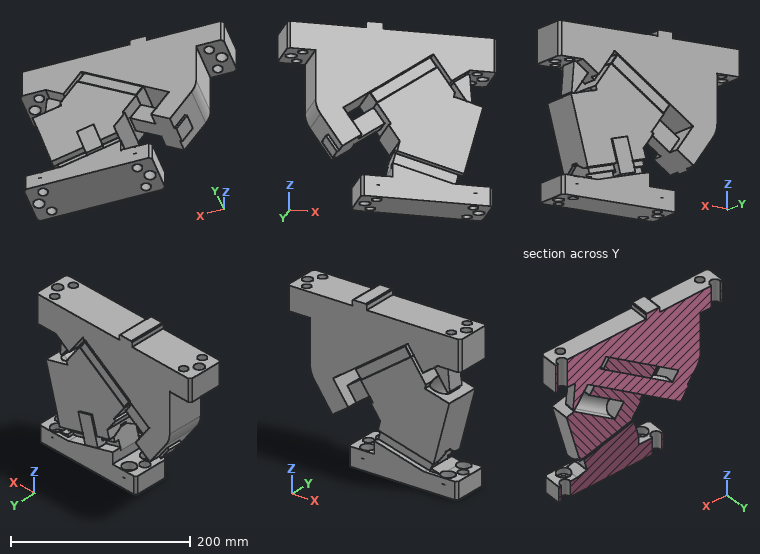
import cadquery as cq
import math


DEPTH = 50.0
HALF_DEPTH = DEPTH / 2
CORNER_CHAMFER = 3.0
THROUGH = 480.0

HOLDER_LENGTH = 240.0
HOLDER_TOP = 200.2
LEFT_FLANGE_BOTTOM = 168.0
RIGHT_FLANGE_BOTTOM = 159.4
ARM_LEFT = 32.0
ARM_ROUND = 30.0
ARM_THICKNESS = 27.0
KEY_LEFT = 90.2
KEY_WIDTH = 20.0
KEY_HEIGHT = 7.5
KEY_CHAMFER = 1.2

WAY_ANGLE = 35.0
WAY_ORIGIN = (63.8, 102.5)
WAY_LENGTH = 126.0
WAY_DEPTH = 36.7
RAIL_WIDTH = 20.0
RAIL_TOP = 15.0
RAIL_STICK_OUT = 3.0
LUG_WIDTH = 22.8
LUG_START = 132.7
LUG_TIP = 69.5
LUG_TIP_WIDTH = 3.4
LUG_ROOT_RIGHT = 212.2

SEAT_ANGLE = 15.0
SEAT_ORIGIN = (121.5, 41.3)
BASE_LEFT = 84.5
BASE_RIGHT = 235.5
BASE_LEFT_TOP = 25.2
BASE_RIGHT_TOP = 23.0
SEAT_LEFT = 120.5
BASE_RAIL_LENGTH = 75.0
BASE_RAIL_HALF_WIDTH = 18.0
BASE_RAIL_HEIGHT = 15.0
ROOF_RISE = 7.5
ROOF_FLAT_HALF_WIDTH = 4.0
GROOVE_FLOOR_Y = 11.8
GROOVE_HEIGHT = 9.0
STOP_HALF_WIDTH = 20.0
END_RELIEF_REACH = 4.8
STOP_LENGTH = 16.8
STOP_HEIGHT = 5.0

SCREW_HOLE = 11.0
SCREW_INSET = 20.0
SCREW_Y = 15.0
DOWEL_HOLE = 13.0
DOWEL_INSET = 10.0
HEAD_HOLE = 17.8
HEAD_SEAT = 14.5

SLIDER_START = 36.5
SLIDER_LENGTH = 85.0
PLATE_THICKNESS = RAIL_TOP
PLATE_EDGE_CHAMFER = 0.5
PLATE_END_INSET = 0.2
PLATE_TOP_CHAMFER = 1.2
LIP = 3.0
LIP_TOP = 43.0
SLIDER_WIDTH = 80.0
SLIDER_SIDE = 85.0
SHOULDER_START = 45.0
SLIDER_CLEARANCE = 0.5
RELIEF_DEPTH = 2.0
SPRING_SLOT_WIDTH = 37.5
SPRING_SLOT_HEIGHT = 22.0
SPRING_AXIS = 23.3
SPRING_DEPTH = 60.0

KEEPER_START = 20.0
KEEPER_LENGTH = 20.5
KEEPER_TOP = 28.0
KEEPER_BOTTOM = 13.2
KEEPER_THICKNESS = 2.2
HOOK_HEIGHT = 4.8
HOOK_TIP_Y = 13.0

WAY_COS = math.cos(math.radians(WAY_ANGLE))
WAY_SIN = math.sin(math.radians(WAY_ANGLE))
SEAT_COS = math.cos(math.radians(SEAT_ANGLE))
SEAT_SIN = math.sin(math.radians(SEAT_ANGLE))


def way_point(u, v):
    """X, Z of a point given along (u) and square to (v) the holder way."""
    return (WAY_ORIGIN[0] + u * WAY_COS - v * WAY_SIN, WAY_ORIGIN[1] + u * WAY_SIN + v * WAY_COS)


def seat_point(s, t):
    """X, Z of a point given along (s) and square to (t) the base seat."""
    return (SEAT_ORIGIN[0] + s * SEAT_COS + t * SEAT_SIN, SEAT_ORIGIN[1] - s * SEAT_SIN + t * SEAT_COS)


def way_depth(u, s):
    """The v at which the line of constant u meets the line of constant s."""
    x, z = way_point(u, 0)
    s_on_way = (x - SEAT_ORIGIN[0]) * SEAT_COS - (z - SEAT_ORIGIN[1]) * SEAT_SIN
    return (s_on_way - s) / math.sin(math.radians(WAY_ANGLE + SEAT_ANGLE))


def slab(points, y_min=-HALF_DEPTH, y_max=HALF_DEPTH):
    """Prism of an X-Z outline between two Y values."""
    return cq.Workplane("XZ", origin=(0, y_max, 0)).polyline(points).close().extrude(y_max - y_min)


def way_block(u_min, u_max, v_min, v_max, half_width):
    corners = [(u_min, v_min), (u_max, v_min), (u_max, v_max), (u_min, v_max)]
    return slab([way_point(u, v) for u, v in corners], -half_width, half_width)


def seat_block(s_min, s_max, t_min, t_max, y_min, y_max):
    corners = [(s_min, t_min), (s_max, t_min), (s_max, t_max), (s_min, t_max)]
    return slab([seat_point(s, t) for s, t in corners], y_min, y_max)


def seat_section(s):
    """Workplane square to the seat slope, with local x along Y and local y along t."""
    x, z = seat_point(s, 0)
    return cq.Workplane(cq.Plane((x, 0, z), (0, 1, 0), (SEAT_COS, 0, -SEAT_SIN)))


def vertical_holes(points, diameter, z_min):
    return cq.Workplane("XY", origin=(0, 0, z_min)).pushPoints(points).circle(diameter / 2).extrude(THROUGH)


def end_points(x_left, x_right, inset, y_values):
    return [(x, y) for x in (x_left + inset, x_right - inset) for y in y_values]


def roof_outline(extra_height):
    """Roof-shaped section of the base rail above its shoulders, with the flat raised by extra_height."""
    shoulder = BASE_RAIL_HEIGHT
    eave = shoulder + ROOF_RISE
    ridge = eave + extra_height
    half = [(BASE_RAIL_HALF_WIDTH, shoulder), (ROOF_FLAT_HALF_WIDTH, eave)]
    if extra_height:
        half.append((ROOF_FLAT_HALF_WIDTH, ridge))
    return half + [(-y, t) for y, t in reversed(half)]


def make_holder():
    arm_outer_rise = (WAY_ORIGIN[0] - ARM_THICKNESS * WAY_COS - ARM_LEFT) / WAY_SIN
    lip_u = (RIGHT_FLANGE_BOTTOM - WAY_ORIGIN[1] + WAY_DEPTH * WAY_COS) / WAY_SIN
    arm_corner = way_point(-ARM_THICKNESS, arm_outer_rise)
    body = slab([
        (0, HOLDER_TOP),
        (0, LEFT_FLANGE_BOTTOM),
        (ARM_LEFT, LEFT_FLANGE_BOTTOM),
        arm_corner,
        way_point(-ARM_THICKNESS, -WAY_DEPTH),
        way_point(0, -WAY_DEPTH),
        way_point(0, 0),
        way_point(WAY_LENGTH, 0),
        way_point(WAY_LENGTH, -WAY_DEPTH),
        way_point(lip_u, -WAY_DEPTH),
        (HOLDER_LENGTH, RIGHT_FLANGE_BOTTOM),
        (HOLDER_LENGTH, HOLDER_TOP),
    ])
    arm_edge = cq.selectors.NearestToPointSelector((arm_corner[0], 0, arm_corner[1]))
    body = body.edges(arm_edge).fillet(ARM_ROUND)
    body = body.faces("<X or >X").edges("|Z").chamfer(CORNER_CHAMFER)

    key = cq.Workplane("XY", origin=(KEY_LEFT, -HALF_DEPTH, HOLDER_TOP)).box(
        KEY_WIDTH, DEPTH, KEY_HEIGHT, centered=False
    )
    key = key.faces(">Z").edges("|Y").chamfer(KEY_CHAMFER)

    rail = way_block(-ARM_THICKNESS - RAIL_STICK_OUT, WAY_LENGTH, -WAY_DEPTH, -RAIL_TOP, RAIL_WIDTH / 2)
    lug = slab([
        way_point(LUG_START, -RAIL_TOP),
        way_point(LUG_START, -LUG_TIP),
        way_point(LUG_START + LUG_TIP_WIDTH, -LUG_TIP),
        (LUG_ROOT_RIGHT, RIGHT_FLANGE_BOTTOM),
    ], -LUG_WIDTH / 2, LUG_WIDTH / 2)
    screws = end_points(0, HOLDER_LENGTH, SCREW_INSET, (-SCREW_Y, SCREW_Y))
    dowels = end_points(0, HOLDER_LENGTH, DOWEL_INSET, (0,))
    body = body.cut(vertical_holes(screws, SCREW_HOLE, 0)).cut(vertical_holes(dowels, DOWEL_HOLE, 0))
    return body.union(key).union(rail).union(lug)


def make_base():
    slope = SEAT_SIN / SEAT_COS
    seat_left_z = SEAT_ORIGIN[1] + (SEAT_ORIGIN[0] - SEAT_LEFT) * slope
    seat_right = SEAT_LEFT + (seat_left_z - BASE_RIGHT_TOP) / slope
    body = slab([
        (BASE_LEFT, 0),
        (BASE_LEFT, BASE_LEFT_TOP),
        (SEAT_LEFT, BASE_LEFT_TOP),
        (SEAT_LEFT, seat_left_z),
        (seat_right, BASE_RIGHT_TOP),
        (BASE_RIGHT, BASE_RIGHT_TOP),
        (BASE_RIGHT, 0),
    ])
    body = body.faces("<X or >X").edges("|Z").chamfer(CORNER_CHAMFER)

    reach = END_RELIEF_REACH
    end_relief = seat_block(-reach, 0, -reach, reach, -BASE_RAIL_HALF_WIDTH, GROOVE_FLOOR_Y)
    body = body.cut(end_relief)

    rail = seat_block(0, BASE_RAIL_LENGTH, 0, BASE_RAIL_HEIGHT, -BASE_RAIL_HALF_WIDTH, BASE_RAIL_HALF_WIDTH)
    roof = seat_section(0).polyline(roof_outline(0)).close().extrude(BASE_RAIL_LENGTH)
    groove = seat_block(0, BASE_RAIL_LENGTH, 0, GROOVE_HEIGHT, GROOVE_FLOOR_Y, BASE_RAIL_HALF_WIDTH)
    stop_end = BASE_RAIL_LENGTH + STOP_LENGTH
    stop = seat_block(BASE_RAIL_LENGTH, stop_end, -STOP_HEIGHT, STOP_HEIGHT, -STOP_HALF_WIDTH, STOP_HALF_WIDTH)
    body = body.union(rail.union(roof).cut(groove)).union(stop)

    screws = end_points(BASE_LEFT, BASE_RIGHT, SCREW_INSET, (-SCREW_Y, SCREW_Y))
    dowels = end_points(BASE_LEFT, BASE_RIGHT, DOWEL_INSET, (0,))
    body = body.cut(vertical_holes(screws, SCREW_HOLE, 0)).cut(vertical_holes(dowels, DOWEL_HOLE, 0))
    return body.cut(vertical_holes(screws, HEAD_HOLE, HEAD_SEAT))


def make_keeper():
    """Hooked plate on the back of the slider that reaches into the groove of the base rail."""
    s_max = KEEPER_START + KEEPER_LENGTH
    bottom = BASE_RAIL_HEIGHT - KEEPER_BOTTOM
    top = BASE_RAIL_HEIGHT + KEEPER_TOP
    outside = HALF_DEPTH + KEEPER_THICKNESS
    slider_bottom = BASE_RAIL_HEIGHT + SLIDER_CLEARANCE
    plate = seat_block(KEEPER_START, s_max, bottom, top, HALF_DEPTH, outside)
    leg = seat_block(KEEPER_START, s_max, bottom, slider_bottom, BASE_RAIL_HALF_WIDTH, outside)
    hook = seat_block(KEEPER_START, s_max, bottom, bottom + HOOK_HEIGHT, HOOK_TIP_Y, outside)
    return plate.union(leg).union(hook)


def make_wear_plate():
    """Sliding plate on top of the slider, with eased edges on its front and back faces."""
    length = SLIDER_LENGTH - 2 * PLATE_END_INSET
    plate = cq.Workplane("XY").box(length, DEPTH, PLATE_THICKNESS, centered=(False, True, False))
    plate = plate.faces("<Y or >Y").edges(">Z").chamfer(PLATE_TOP_CHAMFER)
    plate = plate.faces("<Y or >Y").edges("not(>Z)").chamfer(PLATE_EDGE_CHAMFER)
    x, z = way_point(SLIDER_START + PLATE_END_INSET, -PLATE_THICKNESS)
    return plate.rotate((0, 0, 0), (0, 1, 0), -WAY_ANGLE).translate((x, 0, z))


def make_slider():
    end = SLIDER_START + SLIDER_LENGTH
    lip_start = SLIDER_START - LIP
    bottom = BASE_RAIL_HEIGHT + SLIDER_CLEARANCE
    side_top = BASE_RAIL_HEIGHT + SLIDER_SIDE
    body = slab([
        way_point(SLIDER_START, -PLATE_THICKNESS),
        way_point(SLIDER_START, -LIP_TOP),
        way_point(lip_start, -LIP_TOP),
        way_point(lip_start, way_depth(lip_start, 0)),
        seat_point(0, bottom),
        seat_point(SLIDER_WIDTH, bottom),
        seat_point(SLIDER_WIDTH, side_top),
        seat_point(SHOULDER_START, side_top),
        way_point(end, way_depth(end, SHOULDER_START)),
        way_point(end, -PLATE_THICKNESS),
    ])

    rail_slot = way_block(0, WAY_LENGTH, -WAY_DEPTH, -RAIL_TOP, RAIL_WIDTH / 2)
    roof_groove = seat_section(0).polyline(roof_outline(RELIEF_DEPTH)).close().extrude(SLIDER_WIDTH)
    slot_x, slot_z = way_point(end - SPRING_DEPTH, -WAY_DEPTH - SPRING_AXIS)
    slot_plane = cq.Plane((slot_x, 0, slot_z), (0, 1, 0), (WAY_COS, 0, WAY_SIN))
    spring_slot = cq.Workplane(slot_plane).slot2D(SPRING_SLOT_WIDTH, SPRING_SLOT_HEIGHT).extrude(THROUGH)

    body = body.cut(rail_slot).cut(roof_groove).cut(spring_slot)
    return body.union(make_wear_plate()).union(make_keeper())


holder = make_holder()
base = make_base()
slider = make_slider()

result = cq.Compound.makeCompound([body.solids().val() for body in (holder, slider, base)])